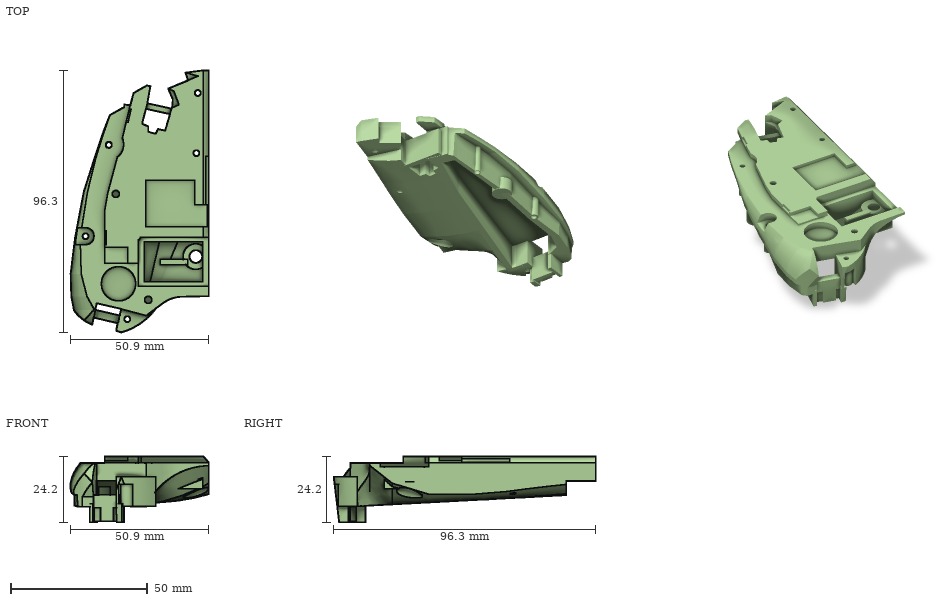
import cadquery as cq


LENGTH = 96.33
WIDTH = 50.85
DECK_HEIGHT = 2.35
HORN_BOTTOM = -21.86
FAR = 60.0

FLOOR_Z_AT_TAIL = -11.9
FLOOR_SLOPE = 0.0532
TAIL_WALL_Y = 85.5
LIP_SLOPE = 0.168
LIP_RUNOUT_Y = 64.7
LIP_DROP_MIN = 0.3
LIP_WIDTH = 1.9
LIP_SHARE = 0.88
FLANK_ROUND = 0.3
KEEL_X = -23.0
TAIL_UNDERSIDE_Z = -6.7

STATIONS = [
    (-1.0, -40.0, -48.5, 1.2, -1.0, 0.2),
    (8.2, -42.0, -49.6, 1.2, -1.0, 0.2),
    (13.3, -44.8, -50.6, 1.2, -1.0, 0.2),
    (21.5, -46.9, -WIDTH, 1.4, -7.5, 0.65),
    (34.9, -47.3, -49.2, 3.6, -11.5, 0.8),
    (51.7, -44.6, -46.0, 3.6, -11.5, 0.8),
    (63.9, -41.6, -42.1, 3.7, -10.5, 0.8),
    (71.4, -39.3, -39.6, 3.6, -9.5, 0.8),
    (79.9, -36.4, -36.7, 3.4, -8.5, 0.8),
    (LENGTH + 1.0, -31.0, -31.3, 2.8, TAIL_UNDERSIDE_Z, 0.8),
]

CAVITY_CEILING_Z = -6.5
CAVITY_PLAN = [
    (-25.5, 8.5), (-41.8, 12.0), (-45.8, 15.0), (-46.5, 22.0), (-43.2, 34.9),
    (-40.0, 51.7), (-36.6, 63.9), (-32.0, 79.0), (-27.0, 79.0), (-25.5, 60.0),
]

CHAMFER_WIDTH = 2.0
CHAMFER_DROP = 2.25
DECK_LEFT_X = -38.3
DECK_FRONT_Y = 25.5
DECK_STEP_Y = 35.05

FRAME_LEFT_X = -25.9
FRAME_FRONT_Y = 17.05
FRAME_RECESS = 1.5
WINDOW = (-23.8, -2.3, 18.6, 33.3)
WINDOW_FLOOR_Z = -9.5
WINDOW_BANK_Z = -5.5
RING_CENTRE = (-4.8, 27.9)
RING_RADIUS = 4.7
RING_TOP_Z = -4.9
RING_HOLE_RADIUS = 2.3
COUNTERBORE_Z = -7.0
RIB = (-17.9, -7.7, 24.9, 26.9)
RIB_TOP_Z = -4.3
STRIP_LEFT_FRONT = 2.2
STRIP_LEFT_REAR = 5.6
STRIP_RIGHT_FRONT = 6.2
STRIP_RIGHT_REAR = 12.3

POCKET_FLOOR_Z = 0.8
MAIN_POCKET = (-23.2, -5.2, 38.8, 56.0)
SIDE_EXIT_END_Y = 47.0
CORNER_POCKET_RIGHT_X = -29.9
CORNER_POCKET_END_Y = 31.3
EDGE_SLOT = (-1.2, 0, SIDE_EXIT_END_Y, 64.7)
EDGE_SLOT_FLOOR_Z = 0.2
GRIP_FLOOR_Z = 1.2
GRIP_DEPTH = 0.6
FRONT_GRIP_Y = (32.3, 37.3)
ROUND_POCKET_CENTRE = (-33.2, 17.9)
ROUND_POCKET_RADIUS = 6.3
ROUND_POCKET_DEPTH = 2.8

SCREW_RADIUS = 1.05
SIDE_SCREW = (-45.3, 35.4)
SIDE_SEAT_RADIUS = 3.1
SIDE_SEAT_DEPTH = 3.2
HORN_SCREW = (-30.0, 4.9)
REAR_SCREW = (-36.75, 68.9)
SCREWS = [(-4.1, 88.0), (-4.6, 65.9), REAR_SCREW, SIDE_SCREW, HORN_SCREW]
WIDE_POST = (-40.0, 53.2)
WIDE_POST_RADIUS = 3.7
WIDE_POST_TOP_Z = -8.7
SIDE_POST_RADIUS = 1.7
REAR_POST_RADIUS = 1.3
REAR_POST_TOP_Z = -1.0
BLIND_HOLES = [(-34.2, 50.9), (-22.3, 12.0)]
BLIND_RADIUS = 1.3
BLIND_DEPTH = 4.0

NOTCH_CORNER = (-41.2, 10.7)
NOTCH_TURN = -13.0
NOTCH_WIDTH = 9.1
PLATE_TOP_Z = -11.8
PLATE_BOTTOM_Z = -21.5
PLATE_FRONT_V = -5.4
PLATE_BACK_V = -2.4
PLATE_RELIEFS = [(0, 2.6), (NOTCH_WIDTH - 1.6, NOTCH_WIDTH)]
PLATE_RELIEF_DEPTH = 1.0
PLATE_RELIEF_TOP_Z = -16.5
PLATE_OVERLAP = 0.5
LEG_OVERLAP = 1.0
LEFT_LEG = (-1.3, 0, -6.2, 0.9)
RIGHT_LEG = (NOTCH_WIDTH, NOTCH_WIDTH + 1.9, -8.0, -3.0)

BRIDGE_TOP_Z = -1.3
HOOK_RECESS_DEPTH = 3.0

HORN_TOP_Z = -5.1
HORN_FLOOR_Z = -16.0
HORN_LEAN = 2.0
HORN_RECESS = (-33.1, -28.0, HORN_FLOOR_Z, -7.9)
HORN_POST_RADIUS = 2.3


def box(x0, x1, y0, y1, z0, z1):
    return cq.Workplane("XY").box(x1 - x0, y1 - y0, z1 - z0, centered=False).translate((x0, y0, z0))


def prism(points, z0, z1):
    return cq.Workplane("XY").workplane(offset=z0).polyline(points).close().extrude(z1 - z0)


def rod(centre, radius, z0, z1):
    return cq.Workplane("XY").workplane(offset=z0).center(*centre).circle(radius).extrude(z1 - z0)


def notch_box(u0, u1, v0, v1, z0, z1):
    """Box in the frame of the front notch: u across the notch, v away from its inner edge."""
    turned = box(u0, u1, v0, v1, z0, z1).rotate((0, 0, 0), (0, 0, 1), NOTCH_TURN)
    return turned.translate((*NOTCH_CORNER, 0))


def floor_z(y):
    return FLOOR_Z_AT_TAIL - FLOOR_SLOPE * (TAIL_WALL_Y - y)


def station_wire(y, shelf_x, lip_x, inset, side_z, fullness):
    """Cross-section of the shell: shelf, bulging flank, lip, undercut wall and rising underside."""
    lip_z = -LIP_DROP_MIN - LIP_SLOPE * max(0.0, LIP_RUNOUT_Y - y)
    lip_low_z = lip_z - LIP_WIDTH
    bottom_z = floor_z(y)
    flank_x = lip_x + FLANK_ROUND * (shelf_x - lip_x)
    keel_bulge = (KEEL_X / 2, side_z + fullness * (bottom_z - side_z))
    return (
        cq.Workplane("XZ", origin=(0, y, 0))
        .moveTo(0, 0)
        .lineTo(shelf_x, 0)
        .threePointArc((flank_x, lip_z / 2), (lip_x, lip_z))
        .lineTo(lip_x, lip_low_z)
        .lineTo(lip_x + LIP_SHARE * inset, lip_low_z)
        .lineTo(lip_x + inset, bottom_z)
        .lineTo(KEEL_X, bottom_z)
        .threePointArc(keel_bulge, (0, side_z))
        .close()
        .val()
    )


def make_shell():
    wires = [station_wire(*station) for station in STATIONS]
    shell = cq.Workplane(obj=cq.Solid.makeLoft(wires, True))
    plan = (
        cq.Workplane("XY").workplane(offset=-FAR)
        .moveTo(0, 13.3)
        .lineTo(-9.7, 13.1)
        .threePointArc((-13.5, 12.5), (-16.8, 10.8))
        .lineTo(-23.0, 6.2)
        .lineTo(-32.35, 8.65)
        .lineTo(*NOTCH_CORNER)
        .lineTo(-42.85, 2.85)
        .threePointArc((-49.6, 8.2), (-52.0, 20.0))
        .lineTo(-52.0, 40.0)
        .lineTo(-36.4, 79.9)
        .lineTo(-31.2, 82.8)
        .lineTo(-31.1, 83.8)
        .lineTo(-28.9, 83.5)
        .lineTo(-15.0, 83.5)
        .lineTo(-15.0, 89.6)
        .lineTo(-7.7, 92.5)
        .lineTo(-8.6, 95.5)
        .lineTo(-2.2, LENGTH)
        .lineTo(0, LENGTH)
        .close()
        .extrude(2 * FAR)
    )
    end_round = (
        cq.Workplane("YZ", origin=(-FAR, 0, 0))
        .moveTo(8.6, 0)
        .threePointArc((4.3, -4.2), (2.85, -7.2))
        .lineTo(4.9, -12.5)
        .lineTo(4.9, -FAR)
        .lineTo(-FAR, -FAR)
        .lineTo(-FAR, 0)
        .close()
        .extrude(FAR + NOTCH_CORNER[0])
    )
    under_tail = box(-FAR, 0, TAIL_WALL_Y, LENGTH, -FAR, TAIL_UNDERSIDE_Z)
    return shell.intersect(plan).cut(end_round).cut(under_tail)


def make_deck():
    deck = (
        cq.Workplane("XY")
        .moveTo(0, DECK_STEP_Y)
        .lineTo(FRAME_LEFT_X + 1, DECK_STEP_Y)
        .lineTo(FRAME_LEFT_X, DECK_STEP_Y - 1.3)
        .lineTo(FRAME_LEFT_X, DECK_FRONT_Y)
        .lineTo(DECK_LEFT_X, DECK_FRONT_Y)
        .lineTo(DECK_LEFT_X, 44.7)
        .lineTo(-37.2, 51.1)
        .lineTo(-33.6, 64.5)
        .threePointArc((-31.7, 67.0), (-31.8, 71.4))
        .lineTo(-28.9, 83.6)
        .lineTo(-27.7, 88.0)
        .lineTo(-22.8, 90.8)
        .lineTo(-21.4, 90.5)
        .lineTo(-22.6, 84.0)
        .lineTo(-15.0, 83.0)
        .lineTo(-15.0, 89.6)
        .lineTo(-4.0, 94.2)
        .lineTo(-8.6, 95.5)
        .lineTo(-2.2, LENGTH)
        .lineTo(0, LENGTH)
        .close()
        .extrude(DECK_HEIGHT)
    )
    corner = (
        cq.Workplane("XZ")
        .moveTo(-CHAMFER_WIDTH, DECK_HEIGHT)
        .lineTo(0, DECK_HEIGHT)
        .lineTo(0, DECK_HEIGHT - CHAMFER_DROP)
        .close()
        .extrude(-LENGTH)
    )
    return deck.cut(corner)


def cut_cavity(body):
    """Hollow below the shelf, with the flank left standing as a wall and the front notch open into it."""
    body = body.cut(prism(CAVITY_PLAN, -FAR, CAVITY_CEILING_Z))
    return body.cut(notch_box(0, NOTCH_WIDTH, -0.5, 5.0, -FAR, CAVITY_CEILING_Z))


def cut_tail_notch(body):
    slot = [
        (-21.0, 93.0), (-22.6, 84.2), (-24.5, 76.7), (-22.2, 75.7), (-22.2, 73.8), (-19.6, 73.0),
        (-18.7, 74.8), (-16.1, 74.2), (-13.5, 83.1), (-13.3, 85.7), (-15.0, 89.6), (-15.2, 93.0),
    ]
    hook_recess = [(-15.0, 89.6), (-12.9, 88.7), (-11.0, 83.7), (-14.1, 82.3), (-13.3, 85.7)]
    bridge = [(-28.3, 85.5), (-13.4, 82.2), (-13.9, 80.1), (-28.8, 83.4)]
    body = body.cut(prism(slot, -FAR, FAR))
    body = body.cut(prism(hook_recess, DECK_HEIGHT - HOOK_RECESS_DEPTH, FAR))
    return body.union(prism(bridge, floor_z(TAIL_WALL_Y), BRIDGE_TOP_Z))


def bank(side_x, foot_front_x, foot_rear_x):
    """Slope that rises from a slanted foot line to a level crest along one side of the window."""
    wires = []
    for y, foot_x in [(WINDOW[2], foot_front_x), (WINDOW[3], foot_rear_x)]:
        corners = [(side_x, y, WINDOW_FLOOR_Z), (foot_x, y, WINDOW_FLOOR_Z), (side_x, y, WINDOW_BANK_Z)]
        wires.append(cq.Wire.makePolygon([cq.Vector(*corner) for corner in corners], close=True))
    return cq.Workplane(obj=cq.Solid.makeLoft(wires, True))


def cut_window(body):
    x0, x1, y0, y1 = WINDOW
    body = body.cut(box(FRAME_LEFT_X, 0, FRAME_FRONT_Y, DECK_STEP_Y, -FRAME_RECESS, 0))
    body = body.cut(box(x0, x1, y0, y1, WINDOW_FLOOR_Z, 0))
    left_bank = bank(x0, x0 + STRIP_LEFT_FRONT, x0 + STRIP_LEFT_REAR)
    right_bank = bank(x1, x0 + STRIP_RIGHT_FRONT, x0 + STRIP_RIGHT_REAR)
    body = body.union(left_bank).union(right_bank)
    ring = rod(RING_CENTRE, RING_RADIUS, COUNTERBORE_Z, RING_TOP_Z)
    ring = ring.intersect(box(x0, x1, y0, y1, -FAR, FAR))
    rib = box(*RIB, WINDOW_FLOOR_Z, RIB_TOP_Z)
    body = body.union(ring).union(rib)
    body = body.cut(rod(RING_CENTRE, RING_RADIUS, -FAR, COUNTERBORE_Z))
    return body.cut(rod(RING_CENTRE, RING_HOLE_RADIUS, -FAR, 0))


def cut_pockets(body):
    body = body.cut(box(*MAIN_POCKET, POCKET_FLOOR_Z, FAR))
    pocket_right_x, pocket_front_y = MAIN_POCKET[1:3]
    body = body.cut(box(pocket_right_x, 0, pocket_front_y, SIDE_EXIT_END_Y, POCKET_FLOOR_Z, FAR))
    corner = box(DECK_LEFT_X, CORNER_POCKET_RIGHT_X, DECK_FRONT_Y, CORNER_POCKET_END_Y, POCKET_FLOOR_Z, FAR)
    body = body.cut(corner)
    body = body.cut(box(*EDGE_SLOT, EDGE_SLOT_FLOOR_Z, FAR))
    body = body.cut(rod(ROUND_POCKET_CENTRE, ROUND_POCKET_RADIUS, -ROUND_POCKET_DEPTH, 0))
    body = body.cut(box(DECK_LEFT_X, DECK_LEFT_X + GRIP_DEPTH, *FRONT_GRIP_Y, GRIP_FLOOR_Z, FAR))
    rear_grip = [(-28.9, 82.0), (-28.6, 82.0), (-29.7, 77.2), (-30.6, 77.2), (-29.5, 82.0)]
    return body.cut(prism(rear_grip, GRIP_FLOOR_Z, FAR))


def add_horn(body):
    horn = (
        cq.Workplane("XY").workplane(offset=HORN_FLOOR_Z)
        .moveTo(-32.2, 8.9)
        .lineTo(-34.1, 0.6)
        .lineTo(-32.2, 0)
        .threePointArc((-25.6, 3.0), (-19.5, 8.75))
        .close()
        .extrude(HORN_TOP_Z - HORN_FLOOR_Z)
    )
    right_leg = notch_box(*RIGHT_LEG, HORN_BOTTOM, HORN_FLOOR_Z + LEG_OVERLAP)
    left_leg = notch_box(*LEFT_LEG, HORN_BOTTOM, HORN_FLOOR_Z + LEG_OVERLAP)
    plate = notch_box(
        -PLATE_OVERLAP, NOTCH_WIDTH + PLATE_OVERLAP, PLATE_FRONT_V, PLATE_BACK_V, PLATE_BOTTOM_Z, PLATE_TOP_Z
    )
    lean = (
        cq.Workplane("YZ", origin=(-FAR, 0, 0))
        .polyline([(0, HORN_TOP_Z), (HORN_LEAN, HORN_BOTTOM), (-HORN_LEAN, HORN_BOTTOM)])
        .close()
        .extrude(FAR)
    )
    x0, x1, z0, z1 = HORN_RECESS
    horn = horn.cut(box(x0, x1, -1.0, HORN_SCREW[1], z0, z1))
    horn = horn.union(rod(HORN_SCREW, HORN_POST_RADIUS, z0, z1))
    horn = horn.cut(lean)
    right_leg = right_leg.cut(lean)
    body = body.union(horn).union(right_leg).union(left_leg).union(plate)
    for u0, u1 in PLATE_RELIEFS:
        relief_back_v = PLATE_FRONT_V + PLATE_RELIEF_DEPTH
        body = body.cut(notch_box(u0, u1, PLATE_FRONT_V, relief_back_v, HORN_BOTTOM, PLATE_RELIEF_TOP_Z))
    return body


def add_screw_posts(body):
    body = body.union(rod(SIDE_SCREW, SIDE_POST_RADIUS, floor_z(SIDE_SCREW[1]), -SIDE_SEAT_DEPTH))
    body = body.union(rod(REAR_SCREW, REAR_POST_RADIUS, floor_z(REAR_SCREW[1]), REAR_POST_TOP_Z))
    return body.union(rod(WIDE_POST, WIDE_POST_RADIUS, floor_z(WIDE_POST[1]), WIDE_POST_TOP_Z))


def cut_holes(body):
    x, y = SIDE_SCREW
    seat = rod(SIDE_SCREW, SIDE_SEAT_RADIUS, -SIDE_SEAT_DEPTH, 0)
    seat = seat.union(box(-FAR, x, y - SIDE_SEAT_RADIUS, y + SIDE_SEAT_RADIUS, -SIDE_SEAT_DEPTH, 0))
    body = body.cut(seat)
    for centre in SCREWS:
        body = body.cut(rod(centre, SCREW_RADIUS, -FAR, FAR))
    for centre in BLIND_HOLES:
        body = body.cut(rod(centre, BLIND_RADIUS, -BLIND_DEPTH, FAR))
    return body


body = make_shell().union(make_deck())
body = cut_cavity(body)
body = cut_tail_notch(body)
body = cut_window(body)
body = cut_pockets(body)
body = add_horn(body)
body = add_screw_posts(body)
result = cut_holes(body)